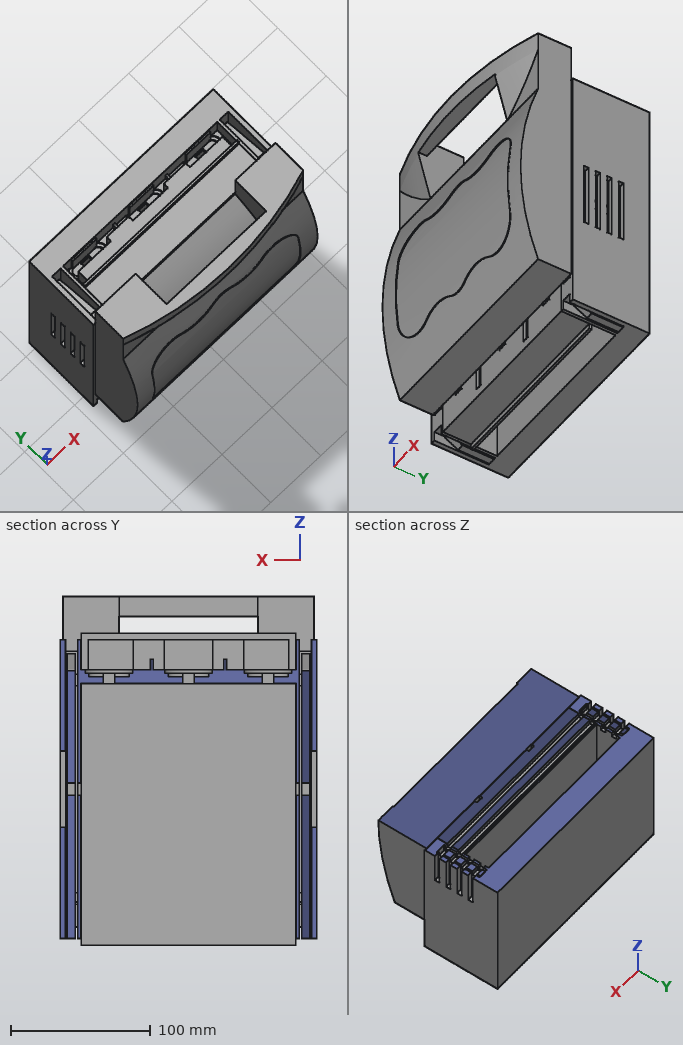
import cadquery as cq
import math


housing_width = 184.0
housing_depth = 66.0
housing_bottom = 4.8
housing_height = 214.3
housing_top = housing_bottom + housing_height
middle_z = housing_bottom + housing_height / 2
cavity_depth = 46.5
centre_cavity_width = 154.0
side_cavity_inner = 79.5
side_cavity_outer = 88.0
side_cavity_width = side_cavity_outer - side_cavity_inner
side_cavity_x = (side_cavity_inner + side_cavity_outer) / 2
front_wall = 8.3
window_height = 8.3
second_window_rise = 24.8

vent_ys = [11.5, 21.5, 31.5, 41.5]
vent_width = 4.0
vent_height = 54.5
inner_vent_height = 8.5

phase_pitch = 57.0
phase_xs = [-phase_pitch, 0, phase_pitch]
web_top = 197.5
web_thickness = 10.0
socket_y = 41.5
socket_step = 2.5
outer_socket_radii = (16.8, 9.0)
inner_socket_radii = (14.3, 6.5)
socket_slot_width = 8.0
rib_x = 26.3
rib_thickness = 2.0
rib_height = 7.5
terminal_width = 24.0
terminal_thickness = 1.5
terminal_top = 215.8

plate_overhang = housing_bottom
plate_thickness = 2.0
block_depth = 24.0
plate_back = block_depth + plate_thickness
groove_x = 30.5
groove_width = 5.8
groove_margin = 8.3
block_recess_depth = 2.5
pocket_size = 8.0
pocket_bottom = 28.5
shroud_half_width = 72.0
shroud_notch_y = 36.0
shroud_back_y = 40.3
shroud_tab_inner = 17.5
shroud_tab_outer = 39.5

bar_width = 6.0
bar_x = 84.0
bar_nose_z = 11.0
bar_heel_y = 19.5
bar_lean_top = 13.0
bar_front_y = 8.8
bar_front_top = 209.0
bar_bend_y = 39.0
bar_front_slope = 20
bar_back_slope = 27

cover_width = 180.0
cover_bottom = 31.0
cover_top = 250.0
cover_depth = 28.5
bulge_top = 196.3
bulge_height = 15.0
panel_recess = 0.8
handle_bottom = 234.0
flank_shift = 10.3
opening_width = 99.5
opening_top = 235.5
opening_depth = 31.8
opening_floor_back = 214.8
opening_floor_sag = 1.38

panel_z = 115.0
corner_radius = 21.8
corner_x = 51.3
corner_z = 30.3
valley_x = 25.0
valley_z = 45.0
crest_z = 51.8


def block_between(x0, x1, y0, y1, z0, z1):
    size = (x1 - x0, y1 - y0, z1 - z0)
    return cq.Workplane("XY").box(*size, centered=False).translate((x0, y0, z0))


def centred_block(x, width, y0, y1, z0, z1):
    return block_between(x - width / 2, x + width / 2, y0, y1, z0, z1)


def vent_cutter(height):
    """Bars along X that cut one row of ventilation slots."""
    cutter = cq.Workplane("YZ", origin=(-housing_width / 2, 0, 0))
    cutter = cutter.pushPoints([(y, middle_z) for y in vent_ys])
    return cutter.rect(vent_width, height).extrude(housing_width)


def socket_cutter(radii, depth):
    """Elliptical recess in the web at every phase."""
    cutter = cq.Workplane("XY", origin=(0, 0, web_top - depth))
    cutter = cutter.pushPoints([(x, socket_y) for x in phase_xs]).ellipse(*radii).extrude(depth)
    return cutter.intersect(centred_block(0, housing_width, 0, cavity_depth, housing_bottom, housing_top))


def make_web():
    """Shelf across the rear of the centre cavity, with a stepped socket and slot per phase."""
    half_width = centre_cavity_width / 2
    web = block_between(-half_width, half_width, plate_back, cavity_depth, web_top - web_thickness, web_top)
    web = web.cut(socket_cutter(outer_socket_radii, socket_step))
    web = web.cut(socket_cutter(inner_socket_radii, 2 * socket_step))
    slot_front = socket_y - inner_socket_radii[1]
    slot_back = cavity_depth - terminal_thickness
    for x in phase_xs:
        web = web.cut(
            centred_block(x, socket_slot_width, slot_front, slot_back, web_top - web_thickness, web_top)
        )
    for x in (-rib_x, rib_x):
        rib = centred_block(x, rib_thickness, shroud_back_y, cavity_depth, web_top, web_top + rib_height)
        web = web.union(rib)
    return web


def make_housing():
    body = centred_block(0, housing_width, 0, housing_depth, housing_bottom, housing_top)
    body = body.cut(centred_block(0, centre_cavity_width, 0, cavity_depth, housing_bottom, housing_top))
    window_zs = [
        housing_bottom,
        housing_bottom + second_window_rise,
        housing_top - second_window_rise - window_height,
        housing_top - window_height,
    ]
    for x in (-side_cavity_x, side_cavity_x):
        body = body.cut(
            centred_block(x, side_cavity_width, front_wall, cavity_depth, housing_bottom, housing_top)
        )
        for z in window_zs:
            body = body.cut(centred_block(x, side_cavity_width, 0, front_wall, z, z + window_height))
    inner_walls = centred_block(0, 2 * side_cavity_inner, 0, housing_depth, housing_bottom, housing_top)
    body = body.cut(vent_cutter(vent_height).cut(inner_walls))
    body = body.cut(vent_cutter(inner_vent_height))
    return body.union(make_web())


def make_plate():
    return centred_block(
        0, centre_cavity_width, block_depth, plate_back,
        housing_bottom - plate_overhang, housing_top + plate_overhang,
    )


def make_front_block():
    block = centred_block(0, centre_cavity_width, 0, block_depth, housing_bottom, housing_top)
    for x in (-groove_x, groove_x):
        block = block.cut(
            centred_block(
                x, groove_width, 0, block_recess_depth,
                housing_bottom + groove_margin, housing_top - groove_margin,
            )
        )
    for x in phase_xs:
        block = block.cut(
            centred_block(x, pocket_size, 0, block_recess_depth, pocket_bottom, pocket_bottom + pocket_size)
        )
    return block.cut(vent_cutter(inner_vent_height))


def make_shroud():
    """Comb behind the plate, with a tab between neighbouring phases."""
    shroud = centred_block(0, 2 * shroud_half_width, plate_back, shroud_notch_y, web_top, housing_top)
    tab_width = shroud_tab_outer - shroud_tab_inner
    tab_x = (shroud_tab_outer + shroud_tab_inner) / 2
    for x in (-tab_x, tab_x):
        tab = centred_block(x, tab_width, shroud_notch_y, shroud_back_y, web_top, housing_top)
        shroud = shroud.union(tab)
    return shroud


def make_terminal(x):
    return centred_block(
        x, terminal_width, cavity_depth - terminal_thickness, cavity_depth,
        web_top - socket_step, terminal_top,
    )


def make_side_bar(x):
    """Upright bar in a side cavity, with a sloping top and an undercut nose."""
    bend_z = bar_front_top - (bar_bend_y - bar_front_y) * math.tan(math.radians(bar_front_slope))
    back_z = bend_z - (cavity_depth - bar_bend_y) * math.tan(math.radians(bar_back_slope))
    outline = [
        (front_wall, bar_nose_z),
        (bar_heel_y, housing_bottom),
        (cavity_depth, housing_bottom),
        (cavity_depth, back_z),
        (bar_bend_y, bend_z),
        (bar_front_y, bar_front_top),
        (bar_front_y, bar_lean_top),
    ]
    bar = cq.Workplane("YZ", origin=(x - bar_width / 2, 0, 0)).polyline(outline).close().extrude(bar_width)
    return bar.cut(vent_cutter(inner_vent_height))


def bulge(inset):
    """Cylindrical swelling of the cover front, set back by inset."""
    front = inset - cover_depth
    profile = cq.Workplane("YZ", origin=(-cover_width / 2, 0, 0)).moveTo(0, cover_bottom)
    profile = profile.lineTo(front, cover_bottom).threePointArc(
        (front - bulge_height, (cover_bottom + bulge_top) / 2), (front, bulge_top)
    )
    return profile.lineTo(0, bulge_top).close().extrude(cover_width)


def along(start, end, distance):
    """Point at the given distance from start towards end."""
    ratio = distance / math.dist(start, end)
    return (start[0] + (end[0] - start[0]) * ratio, start[1] + (end[1] - start[1]) * ratio)


def panel_prism():
    """Prism of the lobed panel outline."""
    run = corner_x - valley_x
    rise = valley_z - corner_z
    valley_radius = (run**2 + rise**2 - corner_radius**2) / (2 * (corner_radius - rise))
    drop = valley_z + valley_radius - crest_z
    crest_radius = (valley_x**2 + drop**2 - valley_radius**2) / (2 * (valley_radius - drop))
    corner = (corner_x, corner_z)
    valley = (valley_x, valley_z + valley_radius)
    crest = (0, crest_z - crest_radius)
    side = (corner_x + corner_radius, corner_z)
    diagonal = corner_radius * math.sqrt(0.5)
    shoulder = (corner_x + diagonal, corner_z + diagonal)
    corner_end = along(corner, valley, corner_radius)
    crest_end = along(crest, valley, crest_radius)

    def place(point, x_sign, z_sign):
        return (x_sign * point[0], z_sign * point[1])

    outline = cq.Workplane("XZ").moveTo(*side)
    outline = outline.threePointArc(shoulder, corner_end)
    outline = outline.threePointArc((valley_x, valley_z), crest_end)
    outline = outline.threePointArc((0, crest_z), place(crest_end, -1, 1))
    outline = outline.threePointArc((-valley_x, valley_z), place(corner_end, -1, 1))
    outline = outline.threePointArc(place(shoulder, -1, 1), place(side, -1, 1))
    outline = outline.lineTo(*place(side, -1, -1))
    outline = outline.threePointArc(place(shoulder, -1, -1), place(corner_end, -1, -1))
    outline = outline.threePointArc((-valley_x, -valley_z), place(crest_end, -1, -1))
    outline = outline.threePointArc((0, -crest_z), place(crest_end, 1, -1))
    outline = outline.threePointArc((valley_x, -valley_z), place(corner_end, 1, -1))
    outline = outline.threePointArc(place(shoulder, 1, -1), place(side, 1, -1)).close()
    return outline.extrude(2 * cover_depth).translate((0, 0, panel_z))


def make_handle_bow():
    """Bowed grip bar with flanks that taper back into the cover."""
    half_width = cover_width / 2
    bow = cq.Workplane("XY", origin=(0, 0, handle_bottom)).moveTo(-half_width, -cover_depth)
    bow = bow.threePointArc((0, -cover_depth - bulge_height), (half_width, -cover_depth)).close()
    face = cq.Face.makeFromWires(bow.val())
    grip = cq.Solid.extrudeLinear(face, cq.Vector(0, 0, cover_top - handle_bottom))
    flanks = cq.Solid.extrudeLinear(face, cq.Vector(0, flank_shift, bulge_top - handle_bottom))
    return cq.Workplane(grip).union(cq.Workplane(flanks))


def opening_cutter():
    """Hand opening: a shaft behind the grip that runs out to the front below it."""
    middle_y = -cover_depth / 2
    middle_floor = (opening_floor_back + bulge_top) / 2
    chord = math.hypot(cover_depth, opening_floor_back - bulge_top)
    crown = (
        middle_y - opening_floor_sag * (opening_floor_back - bulge_top) / chord,
        middle_floor + opening_floor_sag * cover_depth / chord,
    )
    reach = -2 * cover_depth
    profile = cq.Workplane("YZ", origin=(-opening_width / 2, 0, 0)).moveTo(0, opening_floor_back)
    profile = profile.threePointArc(crown, (-cover_depth, bulge_top)).lineTo(reach, bulge_top)
    profile = profile.lineTo(reach, opening_top).lineTo(-opening_depth, opening_top)
    profile = profile.lineTo(-opening_depth, cover_top).lineTo(0, cover_top).close()
    return profile.extrude(opening_width)


def make_cover():
    cover = centred_block(0, cover_width, -cover_depth, 0, cover_bottom, cover_top)
    cover = cover.union(make_handle_bow())
    cover = cover.cut(opening_cutter())
    cover = cover.union(bulge(0))
    return cover.cut(panel_prism().cut(bulge(panel_recess)))


housing = make_housing()
plate = make_plate()
front_block = make_front_block()
shroud = make_shroud()
cover = make_cover()
terminals = [make_terminal(x) for x in phase_xs]
side_bars = [make_side_bar(x) for x in (-bar_x, bar_x)]

single_bodies = [housing, plate, front_block, shroud, cover]
result = cq.Compound.makeCompound([body.val() for body in single_bodies + terminals + side_bars])